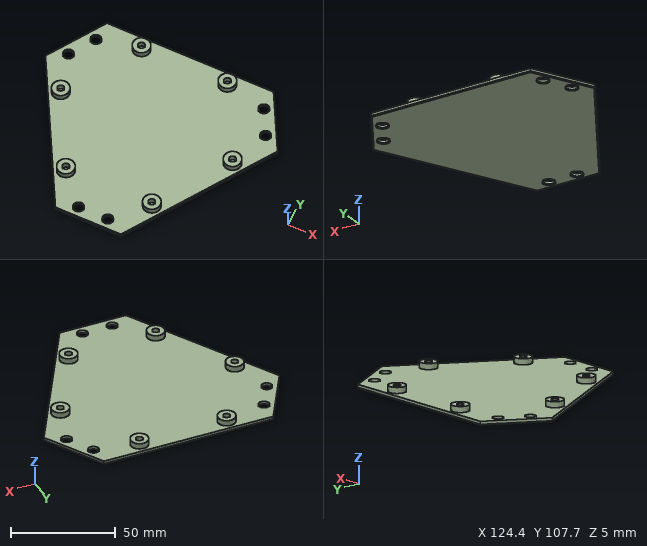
import cadquery as cq
import math

plate_width = 124.4
short_side = 35.1
long_side = plate_width - short_side
plate_thickness = 2.0
bottom_chamfer = 0.5

standoff_ring_radius = 46.0
standoff_count = 6
standoff_diameter = 9.0
standoff_hole_diameter = 3.5
total_height = 5.0

mount_hole_diameter = 5.5
mount_hole_spacing = 15.7
mount_hole_edge_distance = 5.2

triangle_side = long_side + 2 * short_side
long_side_distance = triangle_side / (2 * math.sqrt(3))
short_side_distance = plate_width * math.sin(math.radians(60)) - long_side_distance
corner_angles = (30, 150, 270)


def corner_points(distance, spacing):
    """Pairs of points across each cut corner, counterclockwise."""
    points = []
    for angle in corner_angles:
        turn = math.radians(angle)
        for offset in (-spacing / 2, spacing / 2):
            x = distance * math.cos(turn) - offset * math.sin(turn)
            y = distance * math.sin(turn) + offset * math.cos(turn)
            points.append((x, y))
    return points


plate = (
    cq.Workplane("XY")
    .polyline(corner_points(short_side_distance, short_side))
    .close()
    .extrude(plate_thickness)
)

mount_hole_distance = short_side_distance - mount_hole_edge_distance
mount_holes = (
    cq.Workplane("XY")
    .pushPoints(corner_points(mount_hole_distance, mount_hole_spacing))
    .circle(mount_hole_diameter / 2)
    .extrude(plate_thickness)
)

standoffs = (
    cq.Workplane("XY")
    .workplane(offset=plate_thickness)
    .polarArray(standoff_ring_radius, 0, 360, standoff_count)
    .circle(standoff_diameter / 2)
    .circle(standoff_hole_diameter / 2)
    .extrude(total_height - plate_thickness)
)

drilled_plate = plate.cut(mount_holes).faces("<Z").chamfer(bottom_chamfer)

result = drilled_plate.union(standoffs)